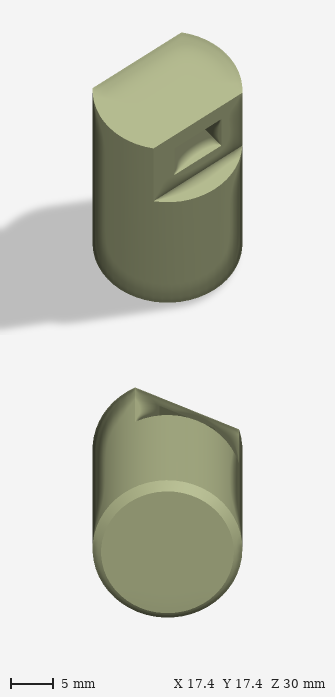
import cadquery as cq

body_diameter = 17.45
total_height = 30.0
tang_height = 10.0
tang_thickness = 11.4
bottom_chamfer = 1.0
window_width = 7.0
window_height = 5.0

shoulder_height = total_height - tang_height
window_center_height = shoulder_height + tang_height / 2


def make_body():
    """Upright round bar with a chamfered bottom edge."""
    bar = cq.Workplane("XY").circle(body_diameter / 2).extrude(total_height)
    return bar.faces("<Z").edges().chamfer(bottom_chamfer)


def make_side_cutter(side):
    """Block that cuts one flat of the tang; side is -1 or +1 along X."""
    offset = side * (tang_thickness + body_diameter) / 2
    return (
        cq.Workplane("XY")
        .workplane(offset=shoulder_height)
        .center(offset, 0)
        .rect(body_diameter, 2 * body_diameter)
        .extrude(tang_height)
    )


def make_window():
    """Rectangular opening through the tang along X."""
    return (
        cq.Workplane("XY")
        .box(body_diameter, window_width, window_height)
        .translate((0, 0, window_center_height))
    )


result = make_body()
for side in (-1, 1):
    result = result.cut(make_side_cutter(side))
result = result.cut(make_window())